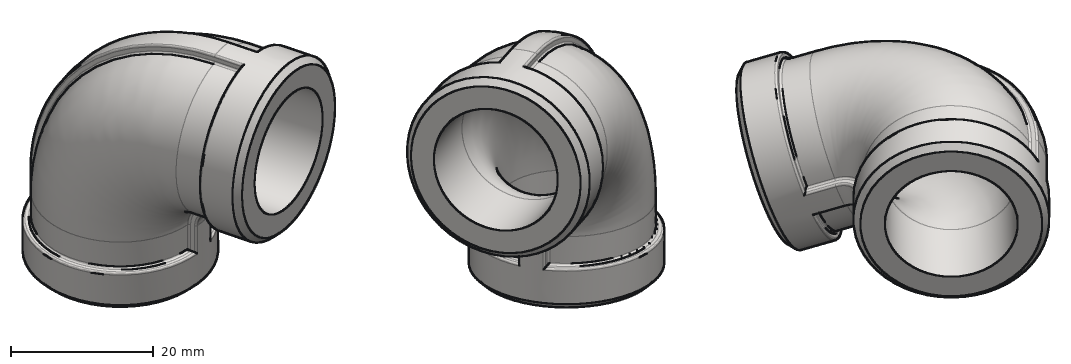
import cadquery as cq
import math

overall_length = 41.25
collar_diameter = 27.5
body_diameter = 25.12
bore_diameter = 18.65
bend_radius = 16.6
collar_length = 6.45
mouth_chamfer = 1.0
rib_width = 4.0
edge_fillet = 0.35
edge_tolerance = 0.005

collar_radius = collar_diameter / 2
body_radius = body_diameter / 2
leg_length = overall_length - collar_radius
straight_length = leg_length - bend_radius


def turned_to_side(lower_shape):
    """Copy of a shape on the lower leg, turned onto the side leg."""
    return lower_shape.rotate((0, 0, 0), (0, 1, 0), -90)


def elbow(diameter):
    """Round bar along the bent centreline, from the lower mouth to the side mouth."""
    lower_leg = (
        cq.Workplane("XY")
        .workplane(offset=-leg_length)
        .circle(diameter / 2)
        .extrude(straight_length)
    )
    bend = (
        cq.Workplane("XY")
        .workplane(offset=-bend_radius)
        .circle(diameter / 2)
        .revolve(90, (bend_radius, 0, 0), (bend_radius, 1, 0))
    )
    return lower_leg.union(bend).union(turned_to_side(lower_leg))


def make_lower_collar():
    """Thick ring at the lower mouth, chamfered on its outer end and rounded at its step."""
    return (
        cq.Workplane("XY")
        .workplane(offset=-leg_length)
        .circle(collar_radius)
        .extrude(collar_length)
        .faces("<Z")
        .chamfer(mouth_chamfer)
        .faces(">Z")
        .edges()
        .fillet(edge_fillet)
    )


def make_rib():
    """Rib in the bend plane with rounded crests, flush with the collars and ending inside them."""
    rib_end = leg_length - collar_length / 2
    slab_side = collar_radius + rib_end
    slab_centre = (rib_end - collar_radius) / 2
    slab = cq.Workplane("XY").box(slab_side, rib_width, slab_side).translate((slab_centre, 0, -slab_centre))
    rib = elbow(collar_diameter).intersect(slab)
    return rib.faces("|Y").edges("not(>X or <Z)").fillet(edge_fillet)


def distance_from_centreline(point):
    """Distance of a point from the bent centreline of the pipe."""
    if point.x < bend_radius and point.z > -bend_radius:
        from_bend_centre = math.hypot(point.x - bend_radius, point.z + bend_radius)
        return math.hypot(from_bend_centre - bend_radius, point.y)
    if point.x < bend_radius:
        return math.hypot(point.x, point.y)
    return math.hypot(point.y, point.z)


def lies_on_body(edge):
    """True for an edge on the outer surface of the pipe body."""
    return abs(distance_from_centreline(edge.positionAt(0.5)) - body_radius) < edge_tolerance


lower_collar = make_lower_collar()
outside = (
    elbow(body_diameter)
    .union(make_rib())
    .union(lower_collar)
    .union(turned_to_side(lower_collar))
    .clean()
)

step_faces = outside.faces("|Y").add(outside.faces("-X")).add(outside.faces("+Z"))
outside = step_faces.edges().filter(lies_on_body).fillet(edge_fillet)

result = outside.cut(elbow(bore_diameter))